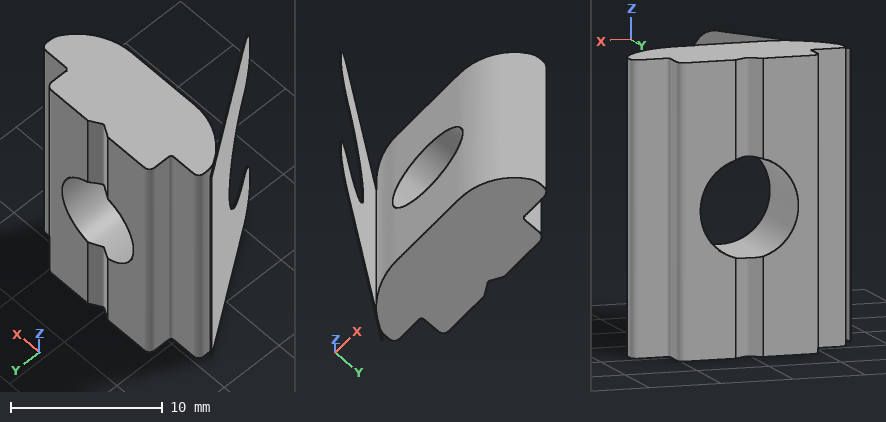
import cadquery as cq
import math

length = 20.0
base_width = 15.0
base_height = 4.0
neck_width = 9.8
body_height = 6.0
bottom_flat_width = 6.0
flank_radius = 5.0
flank_blend = 1.5
outer_corner_radius = 0.5
inner_corner_radius = 0.2
groove_half_width = 0.95
groove_angle = 30.0
groove_tip_radius = 0.2
hole_diameter = 6.8

plate_length = 13.0
plate_height = 19.6
plate_thickness = 0.1
plate_angle = 55.0
plate_overlap = 0.02
plate_bottom_y = -7.4
plate_corner_radius = 2.0
cutout_radius = 4.5
cutout_depth = 6.95

half_base = base_width / 2
half_neck = neck_width / 2
half_flat = bottom_flat_width / 2


def make_base():
    """Lower part of the body, with curved flanks tangent to the underside."""
    blend_x = half_base - flank_blend
    centre_distance = flank_radius - flank_blend
    blend_drop = math.sqrt(centre_distance**2 - (blend_x - half_flat) ** 2)
    blend_y = flank_radius - blend_drop
    join_angle = math.atan2(-blend_drop, blend_x - half_flat)

    def on_flank(angle):
        return (
            half_flat + flank_radius * math.cos(angle),
            flank_radius + flank_radius * math.sin(angle),
        )

    def on_blend(angle):
        return (
            blend_x + flank_blend * math.cos(angle),
            blend_y + flank_blend * math.sin(angle),
        )

    half = (
        cq.Workplane("XY")
        .workplane(offset=-length / 2)
        .lineTo(half_flat, 0)
        .threePointArc(on_flank((join_angle - math.pi / 2) / 2), on_flank(join_angle))
        .threePointArc(on_blend(join_angle / 2), on_blend(0))
        .lineTo(half_base, base_height - outer_corner_radius)
        .radiusArc((half_base - outer_corner_radius, base_height), -outer_corner_radius)
        .lineTo(0, base_height)
        .close()
        .extrude(length)
    )
    return half.union(half.mirror("YZ"))


def make_neck():
    """Raised upper part with rounded outer edges."""
    return (
        cq.Workplane("XY")
        .box(neck_width, body_height - base_height, length)
        .translate((0, (body_height + base_height) / 2, 0))
        .edges("|Z and >Y")
        .fillet(outer_corner_radius)
    )


def make_groove():
    """V groove with a rounded tip along the top of the neck."""
    depth = groove_half_width * math.tan(math.radians(groove_angle))
    return (
        cq.Workplane("XY")
        .workplane(offset=-length / 2)
        .moveTo(-groove_half_width, body_height)
        .lineTo(0, body_height - depth)
        .lineTo(groove_half_width, body_height)
        .close()
        .extrude(length)
        .edges("|Z and <Y")
        .fillet(groove_tip_radius)
    )


def make_body():
    body = make_base().union(make_neck()).clean()
    for side in (-1, 1):
        body = body.edges(
            cq.selectors.NearestToPointSelector((side * half_neck, base_height, 0))
        ).fillet(inner_corner_radius)
    hole = cq.Workplane("XZ").circle(hole_diameter / 2).extrude(-body_height)
    return body.cut(make_groove()).cut(hole)


def make_plate():
    """Forked plate tangent to the left flank, sloping down towards +X."""
    slope = math.radians(plate_angle)
    along = cq.Vector(math.cos(slope), -math.sin(slope), 0)
    outward = cq.Vector(-math.sin(slope), -math.cos(slope), 0)

    flank_centre = cq.Vector(-half_flat, flank_radius, 0)
    tangent_point = flank_centre + outward * (flank_radius - plate_overlap)
    lowest_y = plate_bottom_y + plate_thickness * math.cos(slope)
    reach = (tangent_point.y - lowest_y) / math.sin(slope)
    start = tangent_point + along * (reach - plate_length)

    cutout_centre = plate_length - cutout_depth + cutout_radius
    plane = cq.Plane(origin=start, xDir=along, normal=outward)
    sheet = (
        cq.Workplane(plane)
        .center(plate_length / 2, 0)
        .rect(plate_length, plate_height)
        .extrude(plate_thickness)
    )
    round_end = cq.Workplane(plane).center(cutout_centre, 0).circle(cutout_radius)
    open_end = (
        cq.Workplane(plane)
        .center(cutout_centre + plate_length / 2, 0)
        .rect(plate_length, cutout_radius * 2)
    )
    sheet = sheet.cut(round_end.extrude(plate_thickness))
    sheet = sheet.cut(open_end.extrude(plate_thickness))
    corners = sheet.faces(cq.selectors.DirectionMinMaxSelector(along)).edges("not |Z")
    return corners.fillet(plate_corner_radius)


result = make_body().union(make_plate())